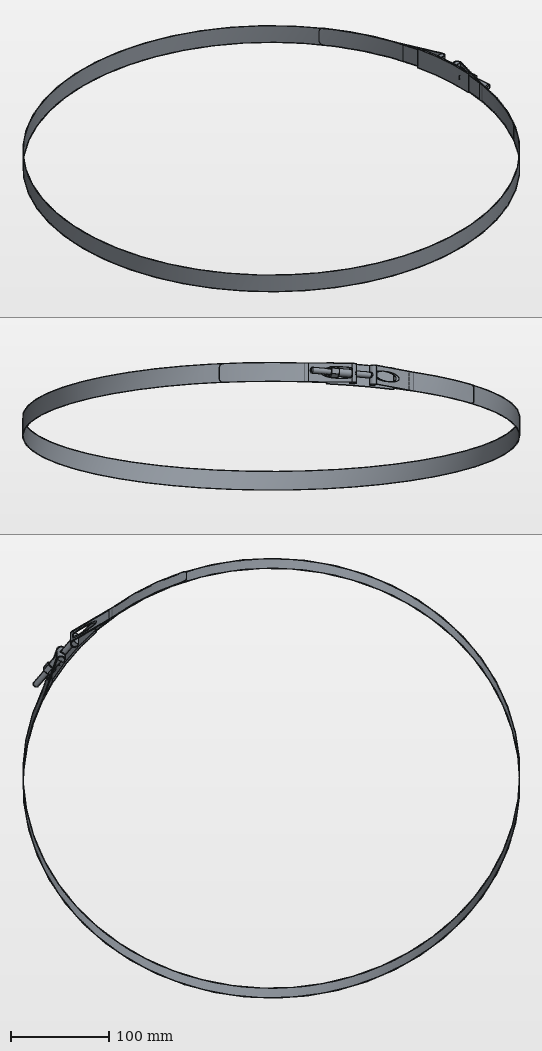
import cadquery as cq
import math


BAND_RADIUS = 252.6
BAND_THICKNESS = 0.5
BAND_HEIGHT = 19.5
BEND_X = 59.0
TAIL_ANGLE = 33.3
TAIL_CORNER_RADIUS = 4.0
FOLD_THICKNESS = 2 * BAND_THICKNESS

CLAMP_TOP_Y = 262.4
HOOK_RADIUS = 4.5
HOOK_X = 12.0
HOOK_Y = CLAMP_TOP_Y - HOOK_RADIUS
HOOK_END_ANGLE = 50.0
TRUNNION_RADIUS = HOOK_RADIUS - FOLD_THICKNESS
TRUNNION_FLAT_X = 13.5
LEFT_OPENING_RADIUS = 5.0

BOLT_Y = 257.5
BOLT_RADIUS = 3.0
BOLT_START_X = -10.5
BOLT_END_X = 56.5
BOLT_CHAMFER = 1.0
SLEEVE_RADIUS = 4.0
NUT_START_X = 27.5
NUT_END_X = 35.5
NUT_ACROSS_FLATS = 10.0
NUT_ACROSS_CORNERS = NUT_ACROSS_FLATS / math.cos(math.radians(30))
NUT_CLEARANCE = 0.5
RIGHT_OPENING_RADIUS = NUT_ACROSS_CORNERS / 2 + NUT_CLEARANCE

BRIDGE_INNER_RADIUS = BAND_RADIUS - FOLD_THICKNESS
BRIDGE_OUTER_RADIUS = 253.65
BRIDGE_HALF_LENGTH = 36.5
BRIDGE_HEIGHT = 22.0
SLOT_X = 21.5
SLOT_WIDTH = 0.5
SLOT_HEIGHT = 4.0

BRIDGE_HALF_ANGLE = math.degrees(math.asin(BRIDGE_HALF_LENGTH / BRIDGE_OUTER_RADIUS))
BEND_ANGLE = math.degrees(math.asin(BEND_X / BAND_RADIUS))
LEFT = -1
RIGHT = 1


def on_circle(radius, angle):
    """Point at an angle from +Y, positive toward +X."""
    turn = math.radians(angle)
    return (radius * math.sin(turn), radius * math.cos(turn))


def curved_strip(inner, outer, start, end, height):
    """Strip between two radii and two angles from +Y, centred on Z = 0."""
    middle = (start + end) / 2
    return (
        cq.Workplane("XY", origin=(0, 0, -height / 2))
        .moveTo(*on_circle(outer, start))
        .threePointArc(on_circle(outer, middle), on_circle(outer, end))
        .lineTo(*on_circle(inner, end))
        .threePointArc(on_circle(inner, middle), on_circle(inner, start))
        .close()
        .extrude(height)
    )


def bolt_plane(x):
    """Sketch plane across the bolt axis, with its local x along Z."""
    return cq.Workplane(cq.Plane(origin=(x, BOLT_Y, 0), xDir=(0, 0, 1), normal=(1, 0, 0)))


def rod(radius, start, end):
    """Round rod along the bolt axis."""
    return bolt_plane(start).circle(radius).extrude(end - start)


def tangent_angle(point, radius):
    """Angle from +Y where a line from a point outside (at +X) touches the top of the right hook."""
    dx = point[0] - HOOK_X
    dy = point[1] - HOOK_Y
    bearing = math.degrees(math.atan2(dx, dy))
    return bearing - math.degrees(math.acos(radius / math.hypot(dx, dy)))


def hook(side, outer_start_radius):
    """Folded double layer that rises from the hoop and curls around a trunnion."""
    inner_radius = TRUNNION_RADIUS
    outer_start = on_circle(outer_start_radius, BEND_ANGLE)
    inner_start = on_circle(outer_start_radius - FOLD_THICKNESS, BEND_ANGLE)
    end = -90 - HOOK_END_ANGLE

    def place(point):
        return (side * point[0], point[1])

    def around(radius, angle):
        x, y = on_circle(radius, angle)
        return place((HOOK_X + x, HOOK_Y + y))

    outer_touch = tangent_angle(outer_start, HOOK_RADIUS)
    inner_touch = tangent_angle(inner_start, inner_radius)
    return (
        cq.Workplane("XY", origin=(0, 0, -BAND_HEIGHT / 2))
        .moveTo(*place(outer_start))
        .lineTo(*around(HOOK_RADIUS, outer_touch))
        .threePointArc(around(HOOK_RADIUS, -90), around(HOOK_RADIUS, end))
        .lineTo(*around(inner_radius, end))
        .threePointArc(around(inner_radius, -90), around(inner_radius, inner_touch))
        .lineTo(*place(inner_start))
        .close()
        .extrude(BAND_HEIGHT)
    )


def tail(side, inner, start):
    """Overlapping end of the band, lying against the hoop, with a rounded tip."""
    strip = curved_strip(
        inner, inner + BAND_THICKNESS, side * start, side * TAIL_ANGLE, BAND_HEIGHT
    )
    tip = (*on_circle(inner, side * TAIL_ANGLE), 0)
    tip_face = strip.faces(cq.selectors.NearestToPointSelector(tip))
    return tip_face.edges("not |Z").fillet(TAIL_CORNER_RADIUS)


def make_band():
    """Open hoop with an overlapping tail and a hook at each end."""
    hoop_inner = BAND_RADIUS - BAND_THICKNESS
    band = curved_strip(hoop_inner, BAND_RADIUS, BEND_ANGLE, 360 - BRIDGE_HALF_ANGLE, BAND_HEIGHT)
    band = band.union(tail(LEFT, BAND_RADIUS, BEND_ANGLE))
    band = band.union(tail(RIGHT, hoop_inner - BAND_THICKNESS, BRIDGE_HALF_ANGLE))
    left_hook = hook(LEFT, BAND_RADIUS + BAND_THICKNESS)
    right_hook = hook(RIGHT, BAND_RADIUS)
    left_hook = left_hook.cut(rod(LEFT_OPENING_RADIUS, -BEND_X, -TRUNNION_FLAT_X))
    right_hook = right_hook.cut(rod(RIGHT_OPENING_RADIUS, TRUNNION_FLAT_X, BEND_X))
    band = band.union(left_hook).union(right_hook)
    return band.cut(rod(BOLT_RADIUS, BOLT_START_X, BOLT_END_X))


def trunnion_bar(side):
    """Round bar along Z with one flat face."""
    bar = (
        cq.Workplane("XY", origin=(side * HOOK_X, HOOK_Y, -BAND_HEIGHT / 2))
        .circle(TRUNNION_RADIUS)
        .extrude(BAND_HEIGHT)
    )
    waste_size = 2 * HOOK_RADIUS
    waste = cq.Workplane("XY").box(waste_size, waste_size, BAND_HEIGHT)
    return bar.cut(waste.translate((side * (TRUNNION_FLAT_X + waste_size / 2), HOOK_Y, 0)))


def make_left_trunnion():
    """Bar with a blind hole that holds the bolt end."""
    return trunnion_bar(LEFT).cut(rod(BOLT_RADIUS, BOLT_START_X, 0))


def make_right_trunnion():
    """Bar with a sleeve that carries the nut."""
    sleeve = rod(SLEEVE_RADIUS, TRUNNION_FLAT_X, NUT_START_X)
    return trunnion_bar(RIGHT).union(sleeve).cut(rod(BOLT_RADIUS, 0, NUT_START_X))


def make_bolt():
    return rod(BOLT_RADIUS, BOLT_START_X, BOLT_END_X).faces(">X").chamfer(BOLT_CHAMFER)


def make_nut():
    """Hexagon nut with corners pointing along Z."""
    nut = bolt_plane(NUT_START_X).polygon(6, NUT_ACROSS_CORNERS).extrude(NUT_END_X - NUT_START_X)
    return nut.cut(rod(BOLT_RADIUS, NUT_START_X, NUT_END_X))


def make_bridge():
    """Curved plate with a narrow slot, tall in Z, cut right through it."""
    bridge = curved_strip(
        BRIDGE_INNER_RADIUS, BRIDGE_OUTER_RADIUS, -BRIDGE_HALF_ANGLE, BRIDGE_HALF_ANGLE, BRIDGE_HEIGHT
    )
    slot = cq.Workplane("XY").box(SLOT_WIDTH, BRIDGE_HEIGHT, SLOT_HEIGHT)
    return bridge.cut(slot.translate((SLOT_X, BRIDGE_INNER_RADIUS, 0)))


band = make_band()
bridge = make_bridge()
left_trunnion = make_left_trunnion()
right_trunnion = make_right_trunnion()
bolt = make_bolt()
nut = make_nut()

result = cq.Compound.makeCompound(
    [
        band.val(),
        bridge.val(),
        left_trunnion.val(),
        right_trunnion.val(),
        bolt.val(),
        nut.val(),
    ]
)